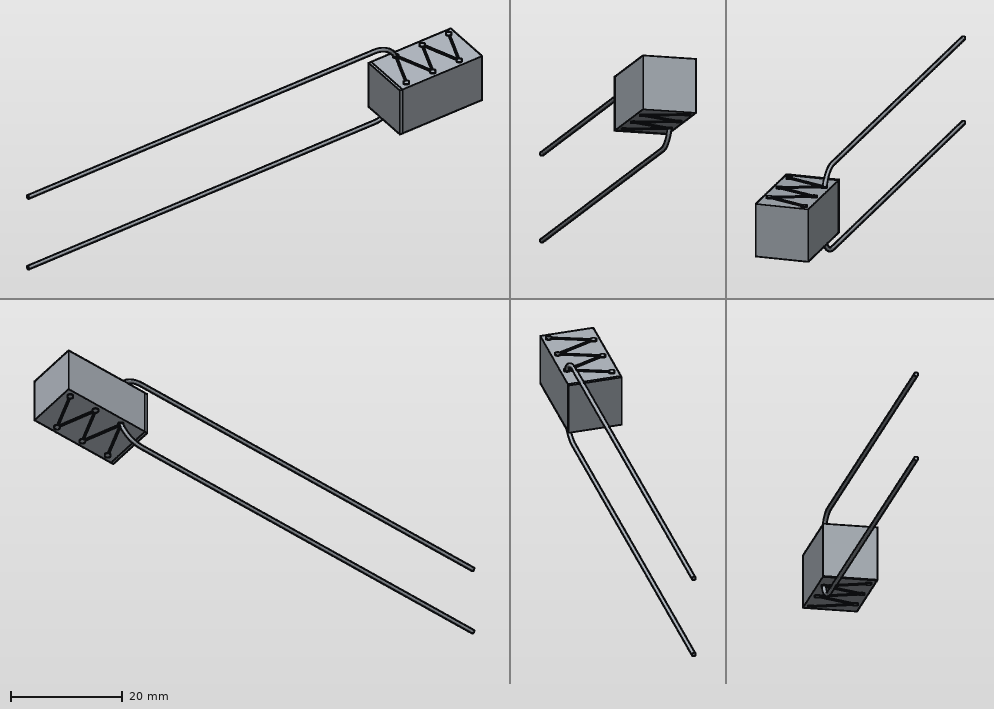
import cadquery as cq
import math

block_side = 10.0
block_length = 18.0
end_plate_thickness = 0.6

total_length = 93.2
total_height = 16.8
wire_radius = 0.4
wire_inset = 1.1
bend_length = 4.7

pad_count = 6
pad_pitch = 2.9
pad_radius = 0.6
pad_inset = 1.2
first_pad_offset = 1.3
track_width = 0.3
track_height = 0.2
wire_pad = 4

half_side = block_side / 2
block_back = total_length
block_front = block_back - block_length
stack_front = block_front + end_plate_thickness
wire_x = wire_inset - half_side
wire_z = total_height / 2 - wire_radius


def box_along_y(y_start, y_end):
    """Square bar of the block section between two Y positions."""
    length = y_end - y_start
    return cq.Workplane("XY").box(block_side, length, block_side).translate((0, (y_start + y_end) / 2, 0))


def pad_centre(index):
    """X and Y of a pad; even pads sit near -X and odd pads near +X."""
    side = -1 if index % 2 == 0 else 1
    return side * (half_side - pad_inset), block_back - first_pad_offset - index * pad_pitch


def make_track():
    """Round pads joined by straight strips, standing on the top face of the block."""
    top = cq.Workplane("XY", origin=(0, 0, half_side))
    pads = [pad_centre(index) for index in range(pad_count)]
    track = top.pushPoints(pads).circle(pad_radius).extrude(track_height)
    for (x_start, y_start), (x_end, y_end) in zip(pads, pads[1:]):
        run = math.hypot(x_end - x_start, y_end - y_start)
        angle = math.degrees(math.atan2(y_end - y_start, x_end - x_start))
        strip = (
            top.center((x_start + x_end) / 2, (y_start + y_end) / 2)
            .transformed(rotate=(0, 0, angle))
            .rect(run, track_width)
            .extrude(track_height)
        )
        track = track.union(strip)
    return track


def make_wire():
    """Round wire rising from its pad in a curve and running straight to Y = 0."""
    pad_y = pad_centre(wire_pad)[1]
    bend_end_y = pad_y - bend_length
    rise = wire_z - half_side
    diagonal = math.hypot(bend_length, rise)
    bend_radius = diagonal ** 2 / (2 * rise)
    half_sweep = math.asin(bend_length / bend_radius) / 2
    arc_middle = (
        bend_end_y + bend_radius * math.sin(half_sweep),
        wire_z - bend_radius * (1 - math.cos(half_sweep)),
    )
    path = (
        cq.Workplane("YZ", origin=(wire_x, 0, 0))
        .moveTo(0, wire_z)
        .lineTo(bend_end_y, wire_z)
        .threePointArc(arc_middle, (pad_y, half_side))
    )
    wire = cq.Workplane("XZ", origin=(wire_x, 0, 0)).center(0, wire_z).circle(wire_radius).sweep(path)
    return wire.cut(box_along_y(block_front, block_back))


def make_lead():
    """Wire and contact track of the top face, as one solid."""
    return make_track().union(make_wire())


stack = box_along_y(stack_front, block_back)
end_plate = box_along_y(block_front, stack_front)
top_lead = make_lead()
bottom_lead = top_lead.mirror("XY")

result = cq.Compound.makeCompound([stack.val(), end_plate.val(), *top_lead.vals(), *bottom_lead.vals()])